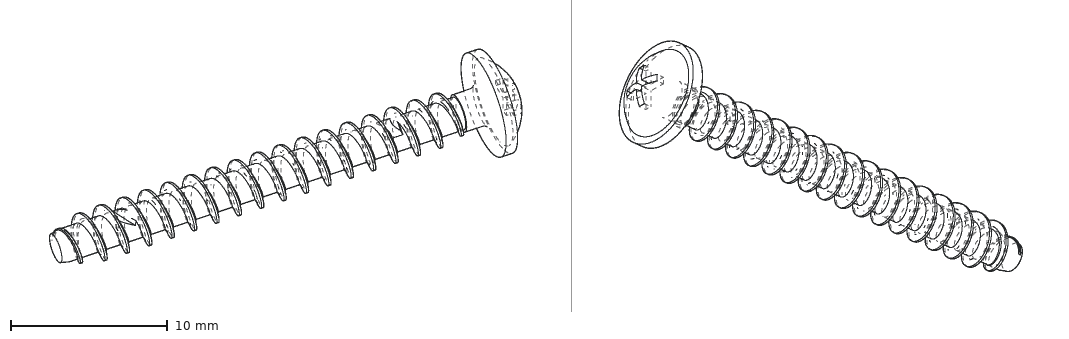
import cadquery as cq
import math


total_length = 32.33
flange_radius = 7.0 / 2
flange_thickness = 0.8
head_height = 2.3
dome_radius = 2.97
crown_radius = 0.65
dip_depth = 0.1
rim_width = 0.15

recess_slot_width = 0.5
recess_span = 2.85
recess_depth = 0.8

shank_radius = 1.25
seat_fillet = 0.52
shank_length = 1.75
core_radius = 1.1
tip_z = total_length - head_height
tip_radius = 0.97
tip_cone_height = 0.05
tip_taper_length = 0.58

thread_radius = 3.5 / 2
thread_start = 1.4
lead_in_turns = 1.0
full_turns = 15.75
full_thread_length = 24.7
pitch = full_thread_length / full_turns
run_out_turns = 1.3
crest_width = 0.15
flank_angle = math.radians(12)
foot_angle = math.radians(30)
knee_position = 0.6
root_radius = 0.65
lead_in_radius = 1.23
run_out_radius = 1.07
thread_start_angle = 180

flat_notch_start = 6.0
flat_notch_length = 1.3
flat_notch_height = 0.75
vee_notch_floor = 25.2
vee_notch_height = 0.68
vee_notch_depth = 0.65
vee_notch_steep_run = 0.65
vee_notch_gentle_run = 1.13
vee_notch_slant = 25


def revolved_body():
    """Head, shank, core and tip as one turned solid."""
    top_z = -head_height
    flange_top = -flange_thickness
    dome_foot = flange_top + dip_depth
    dome_height = dome_foot - top_z
    centre_height = (dome_height**2 + crown_radius**2 - dome_radius**2) / (2 * dome_height)
    sphere_radius = math.hypot(dome_radius, centre_height)
    mid_radius = (crown_radius + dome_radius) / 2
    mid_z = dome_foot - centre_height - math.sqrt(sphere_radius**2 - mid_radius**2)
    fillet_reach = seat_fillet * (1 - math.sqrt(0.5))
    taper_end = tip_z - tip_cone_height
    profile = (
        cq.Workplane("XZ")
        .moveTo(0, top_z)
        .lineTo(crown_radius, top_z)
        .threePointArc((mid_radius, mid_z), (dome_radius, dome_foot))
        .lineTo(flange_radius - rim_width, flange_top)
        .lineTo(flange_radius, flange_top)
        .lineTo(flange_radius, 0)
        .lineTo(shank_radius + seat_fillet, 0)
        .threePointArc((shank_radius + fillet_reach, fillet_reach), (shank_radius, seat_fillet))
        .lineTo(shank_radius, shank_length)
        .lineTo(core_radius, shank_length)
        .lineTo(core_radius, taper_end - tip_taper_length)
        .lineTo(tip_radius, taper_end)
        .lineTo(0, tip_z)
        .close()
    )
    return profile.revolve(360, (0, 0, 0), (0, 1, 0))


def cross_recess():
    """Two crossing slots sunk into the crown of the dome."""
    crown = cq.Workplane("XY").workplane(offset=-head_height)
    along_x = crown.rect(recess_span, recess_slot_width).extrude(recess_depth)
    along_y = crown.rect(recess_slot_width, recess_span).extrude(recess_depth)
    return along_x.union(along_y)


def flat_notch():
    """Flat-floored notch across the core, just below the lead-in turns."""
    return cq.Workplane("XY").box(
        2 * thread_radius, thread_radius, flat_notch_length, centered=(True, False, False)
    ).translate((0, flat_notch_height, flat_notch_start))


def vee_notch():
    """V-shaped notch across the core near the tip, leaning with the thread."""
    top = vee_notch_height + vee_notch_depth
    return (
        cq.Workplane("YZ")
        .moveTo(vee_notch_height, 0)
        .lineTo(top, -vee_notch_steep_run)
        .lineTo(top, vee_notch_gentle_run)
        .close()
        .extrude(thread_radius, both=True)
        .rotate((0, 0, 0), (0, 1, 0), vee_notch_slant)
        .translate((0, 0, vee_notch_floor))
    )


def thread_point(corner):
    """Position of a (turn, radius, axial offset) corner of the thread."""
    turn, radius, offset = corner
    angle = math.radians(thread_start_angle + 360 * turn)
    z = thread_start + pitch * turn + offset
    return cq.Vector(radius * math.cos(angle), radius * math.sin(angle), z)


def helix(narrow, wide):
    """Helical edge that leaves its narrower corner and widens, or stays parallel, to the other."""
    narrow_turn, narrow_radius, _ = narrow
    wide_turn, wide_radius, _ = wide
    turns = abs(wide_turn - narrow_turn)
    widening = wide_radius - narrow_radius
    rise = abs(thread_point(wide).z - thread_point(narrow).z)
    slant = math.hypot(rise, widening)
    cylinder = 360
    cone_angle = math.degrees(math.atan2(widening, rise)) if widening else cylinder
    edge = cq.Wire.makeHelix(slant / turns, slant, narrow_radius, angle=cone_angle).Edges()[0]
    if wide_turn < narrow_turn:
        edge = edge.rotate(cq.Vector(), cq.Vector(1, 0, 0), 180)
    edge = edge.rotate(cq.Vector(), cq.Vector(0, 0, 1), thread_start_angle + 360 * narrow_turn)
    return edge.translate(cq.Vector(0, 0, thread_point(narrow).z))


def thread_corners(turn, crest_radius):
    """The six corners of the thread section, in order around it."""
    knee_radius = root_radius + knee_position * (crest_radius - root_radius)
    half_crest = crest_width / 2
    half_knee = half_crest + (crest_radius - knee_radius) * math.tan(flank_angle)
    half_root = half_knee + (knee_radius - root_radius) * math.tan(foot_angle)
    upper_side = [
        (turn, crest_radius, half_crest),
        (turn, knee_radius, half_knee),
        (turn, root_radius, half_root),
    ]
    lower_side = [(turn, radius, -offset) for turn, radius, offset in reversed(upper_side)]
    return lower_side + upper_side


def thread():
    """Thread with flared flanks that rises from the shank and fades out at the tip."""
    full_end = lead_in_turns + full_turns
    stations = [
        (0, lead_in_radius),
        (lead_in_turns, thread_radius),
        (full_end, thread_radius),
        (full_end + run_out_turns, run_out_radius),
    ]
    faces = []
    for stretch in zip(stations, stations[1:]):
        narrow, wide = [
            thread_corners(turn, crest_radius)
            for turn, crest_radius in sorted(stretch, key=lambda station: station[1])
        ]
        edges = [helix(*corners) for corners in zip(narrow, wide)]
        for i, edge in enumerate(edges):
            faces.append(cq.Face.makeRuledSurface(edges[i - 1], edge))
    for cap in (stations[0], stations[-1]):
        points = [thread_point(corner) for corner in thread_corners(*cap)]
        outline = cq.Wire.makePolygon(points, close=True)
        faces.append(cq.Face.makeFromWires(outline))
    return cq.Workplane(cq.Solid.makeSolid(cq.Shell.makeShell(faces)))


core = revolved_body().cut(cross_recess()).cut(flat_notch()).cut(vee_notch())
screw = core.union(thread())
result = screw.rotate((0, 0, 0), (1, 0, 0), 90).solids()